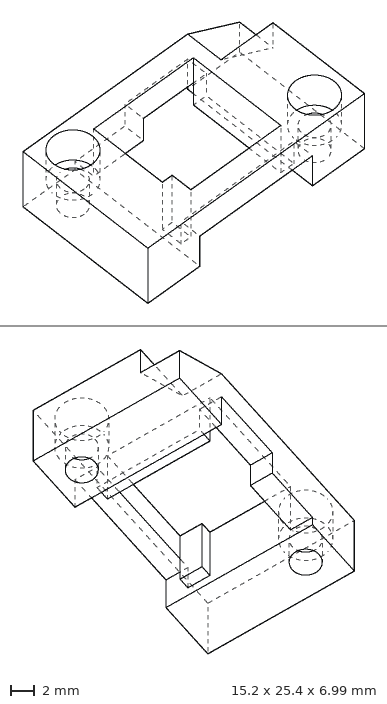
import cadquery as cq

LENGTH_X = 15.24
LENGTH_Y = 25.4
HEIGHT = 6.985
X_MIN = -LENGTH_X / 2
X_MAX = LENGTH_X / 2
Y_MIN = -LENGTH_Y / 2
Y_MAX = LENGTH_Y / 2

FOOT_LENGTH = 6.096
RECESS_DEPTH = 1.016
RECESS_Y_MIN = Y_MIN + FOOT_LENGTH
RECESS_Y_MAX = Y_MAX - FOOT_LENGTH

WINDOW_SIDE_WALL = 2.286
WINDOW_END_WALL = 7.62
WINDOW_X_MIN = X_MIN + WINDOW_SIDE_WALL
WINDOW_X_MAX = X_MAX - WINDOW_SIDE_WALL
WINDOW_Y_MIN = RECESS_Y_MIN
WINDOW_Y_MAX = Y_MAX - WINDOW_END_WALL
KEY_X = 2.286
KEY_Y = 1.143

NOTCH_TOP = 3.81
LEFT_NOTCH_LENGTH = 7.366
LEFT_NOTCH_Y_MIN = RECESS_Y_MAX - LEFT_NOTCH_LENGTH

RAMP_WIDTH = 4.064
RAMP_DROP = 3.175

HOLE_DIAMETER = 2.794
COUNTERBORE_DIAMETER = 4.572
COUNTERBORE_DEPTH = 3.81
HOLE_INSET_X = 2.794
HOLE_INSET_Y = 3.175


def box(x_min, x_max, y_min, y_max, z_min, z_max):
    """Axis-aligned box between the given limits."""
    size = (x_max - x_min, y_max - y_min, z_max - z_min)
    return cq.Workplane("XY").box(*size, centered=False).translate((x_min, y_min, z_min))


def make_window():
    """Window opening, less the key in its (+X, -Y) corner."""
    opening = box(WINDOW_X_MIN, WINDOW_X_MAX, WINDOW_Y_MIN, WINDOW_Y_MAX, 0, HEIGHT)
    key = box(
        WINDOW_X_MAX - KEY_X, WINDOW_X_MAX,
        WINDOW_Y_MIN, WINDOW_Y_MIN + KEY_Y,
        0, HEIGHT,
    )
    return opening.cut(key)


def make_ramp_cut():
    """Wedge removed above the ramp."""
    profile = [
        (RECESS_Y_MAX, HEIGHT),
        (Y_MAX, HEIGHT),
        (Y_MAX, HEIGHT - RAMP_DROP),
    ]
    wedge = cq.Workplane("YZ").polyline(profile).close().extrude(RAMP_WIDTH)
    return wedge.translate((X_MIN, 0, 0))


body = box(X_MIN, X_MAX, Y_MIN, Y_MAX, 0, HEIGHT)
body = body.cut(box(X_MIN, X_MAX, RECESS_Y_MIN, RECESS_Y_MAX, 0, RECESS_DEPTH))
body = body.cut(make_window())

left_notch = box(X_MIN, WINDOW_X_MIN, LEFT_NOTCH_Y_MIN, RECESS_Y_MAX, 0, NOTCH_TOP)
right_notch = box(WINDOW_X_MAX, X_MAX, RECESS_Y_MIN, RECESS_Y_MAX, 0, NOTCH_TOP)
body = body.cut(left_notch).cut(right_notch)
body = body.cut(make_ramp_cut())

hole_positions = [
    (X_MIN + HOLE_INSET_X, Y_MIN + HOLE_INSET_Y),
    (X_MAX - HOLE_INSET_X, Y_MAX - HOLE_INSET_Y),
]
result = (
    body.faces(">Z")
    .workplane(origin=(0, 0, HEIGHT))
    .pushPoints(hole_positions)
    .cboreHole(HOLE_DIAMETER, COUNTERBORE_DIAMETER, COUNTERBORE_DEPTH)
)